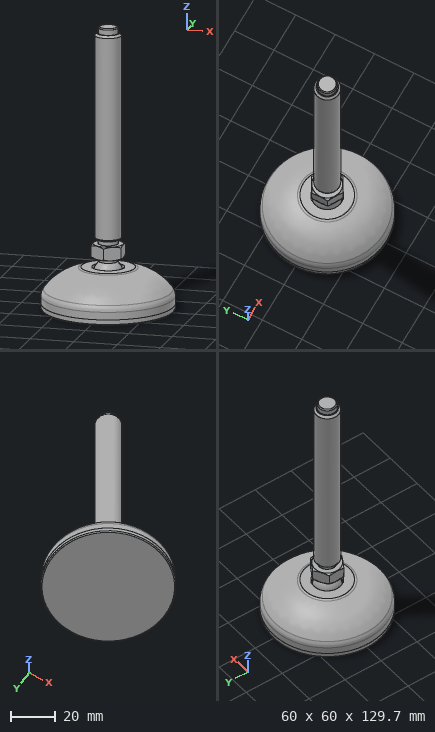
import cadquery as cq
import math

foot_radius = 60.0 / 2
pad_height = 2.6
pad_edge_chamfer = 0.5
wall_top = 6.1
dome_base_radius = 28.9
dome_base_z = 9.0
dome_rim_radius = 13.2
dome_rim_z = 18.8
dome_arc_radius = 25.4
shoulder_arc_radius = 4.7
dome_top = 19.2
top_flat_radius = 24.3 / 2

ball_radius = 6.6
ball_center_z = 16.5
socket_mouth_radius = 7.3

lower_neck_radius = 4.0
hex_bottom = 23.6
hex_height = 6.4
hex_across_flats = 14.0
hex_face_radius = 6.9
hex_chamfer_height = 0.6
upper_neck_radius = 9.0 / 2
rod_radius = 12.0 / 2
rod_bottom = 31.9
rod_bottom_chamfer = 0.9
rod_top_chamfer = 1.0
rod_top = 126.7
rod_end_radius = rod_radius - rod_top_chamfer
tip_radius = upper_neck_radius
tip_chamfer = 0.5
total_height = 129.7

hex_top = hex_bottom + hex_height
hex_corner_radius = hex_across_flats / math.sqrt(3)


def make_pad():
    """Round pad under the dome, bevelled at its lower edge."""
    pad = cq.Workplane("XY").circle(foot_radius).extrude(pad_height)
    return pad.faces("<Z").edges().chamfer(pad_edge_chamfer)


def make_dome():
    """Domed foot with a ball seat opening at the top."""
    dome = (
        cq.Workplane("XZ")
        .moveTo(0, pad_height)
        .lineTo(foot_radius, pad_height)
        .lineTo(foot_radius, wall_top)
        .radiusArc((dome_base_radius, dome_base_z), -shoulder_arc_radius)
        .radiusArc((dome_rim_radius, dome_rim_z), -dome_arc_radius)
        .lineTo(top_flat_radius, dome_top)
        .lineTo(0, dome_top)
        .close()
        .revolve(360, (0, 0), (0, 1))
    )
    mouth = (
        cq.Workplane("XY", origin=(0, 0, ball_center_z))
        .circle(socket_mouth_radius)
        .extrude(dome_top - ball_center_z)
    )
    seat = cq.Workplane("XY").sphere(ball_radius).translate((0, 0, ball_center_z))
    return dome.cut(mouth).cut(seat)


def make_hexagon():
    """Wrench hexagon, corners along Y, with both ends turned to a cone."""
    prism = (
        cq.Workplane("XY", origin=(0, 0, hex_bottom))
        .polygon(6, 2 * hex_corner_radius)
        .extrude(hex_height)
        .rotate((0, 0, 0), (0, 0, 1), 30)
    )
    turned_blank = (
        cq.Workplane("XZ")
        .moveTo(0, hex_bottom)
        .lineTo(hex_face_radius, hex_bottom)
        .lineTo(hex_corner_radius, hex_bottom + hex_chamfer_height)
        .lineTo(hex_corner_radius, hex_top - hex_chamfer_height)
        .lineTo(hex_face_radius, hex_top)
        .lineTo(0, hex_top)
        .close()
        .revolve(360, (0, 0), (0, 1))
    )
    return prism.intersect(turned_blank)


def make_spindle():
    """Ball, necks, hexagon and long rod as one turned piece."""
    neck_offset = math.sqrt(ball_radius**2 - lower_neck_radius**2)
    turned = (
        cq.Workplane("XZ")
        .moveTo(0, ball_center_z - ball_radius)
        .threePointArc(
            (ball_radius, ball_center_z),
            (lower_neck_radius, ball_center_z + neck_offset),
        )
        .lineTo(lower_neck_radius, hex_bottom)
        .lineTo(upper_neck_radius, hex_top)
        .lineTo(upper_neck_radius, rod_bottom)
        .lineTo(rod_radius - rod_bottom_chamfer, rod_bottom)
        .lineTo(rod_radius, rod_bottom + rod_bottom_chamfer)
        .lineTo(rod_radius, rod_top - rod_top_chamfer)
        .lineTo(rod_end_radius, rod_top)
        .lineTo(tip_radius, rod_top)
        .lineTo(tip_radius, total_height - tip_chamfer)
        .lineTo(tip_radius - tip_chamfer, total_height)
        .lineTo(0, total_height)
        .close()
        .revolve(360, (0, 0), (0, 1))
    )
    return turned.union(make_hexagon())


pad = make_pad()
dome = make_dome()
spindle = make_spindle()

result = cq.Compound.makeCompound([
    pad.solids().val(),
    dome.solids().val(),
    spindle.solids().val(),
])